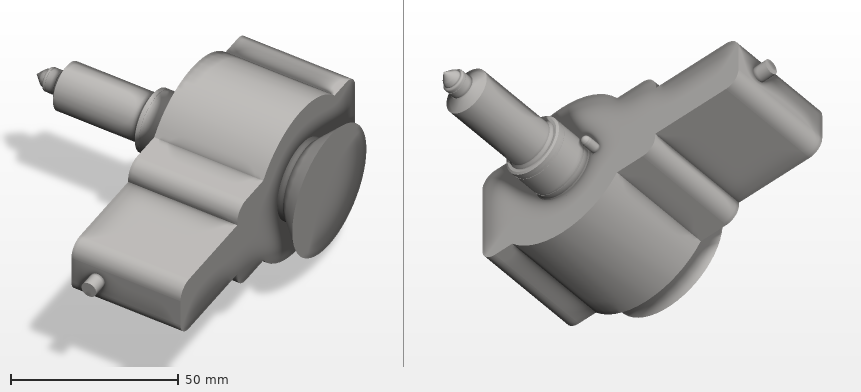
import cadquery as cq

HOUSING_THICKNESS = 38.0
HOUSING_RADIUS = 27.02
CORNER_RADIUS = 5.0
BACK_END_Y = 31.9
BACK_HALF_HEIGHT = 18.2
MIDDLE_END_Y = -36.9
MIDDLE_HALF_HEIGHT = 16.0
ARM_END_Y = -70.1
ARM_HALF_HEIGHT = 9.8

TERMINAL_X = 9.1
TERMINAL_RADIUS = 2.6
TERMINAL_LENGTH_OUTSIDE = 5.0
TERMINAL_HEAD_RADIUS = 3.0
TERMINAL_HEAD_LENGTH = 5.0

BELL_NECK_RADIUS = 13.6
BELL_NECK_LENGTH = 2.0
BELL_RIM_RADIUS = 21.67
BELL_LENGTH = 10.1

FLANGE_RADIUS = 12.5
FLANGE_THICKNESS = 3.2
COLLAR_RADIUS = 10.5
COLLAR_FRONT_X = -13.9
COLLAR_FRONT_CHAMFER_LENGTH = 0.4
COLLAR_FRONT_CHAMFER_HEIGHT = 0.7
COLLAR_BASE_FLARE = 0.3
GROOVE_DEPTH = 0.1
FRONT_GROOVE_X = -12.1
FRONT_GROOVE_WIDTH = 1.1
REAR_GROOVE_X = -2.8
REAR_GROOVE_WIDTH = 0.6

DOWEL_Y = -13.3
DOWEL_RADIUS = 1.6
DOWEL_TIP_X = -6.0
DOWEL_DOME_MID_X = -5.6
DOWEL_DOME_MID_RADIUS = 1.1
DOWEL_DOME_END_X = -4.8
DOWEL_DOME_RADIUS = 1.5
DOWEL_TAPER_END_X = -4.0

BARREL_RADIUS = 8.0
BARREL_CONE_START_X = -45.6
BARREL_CONE_START_RADIUS = 4.3
BARREL_CONE_END_X = -43.4
SHOULDER_START_X = -15.0
SHOULDER_RADIUS = 8.8

CAP_RADIUS = 4.0
CAP_FRONT_X = -49.9
CAP_FILLET = 0.6
CAP_GROOVE_X = -48.8
CAP_GROOVE_WIDTH = 0.5

NEEDLE_TIP_X = -53.9
NEEDLE_CONE_LENGTH = 2.5
NEEDLE_CONE_RADIUS = 2.5
NEEDLE_RADIUS = 3.1
NEEDLE_MID_X = -50.9
NEEDLE_MID_RADIUS = 2.84
NEEDLE_LAND_START_X = -50.2
NEEDLE_SEAT_DEPTH = 2.1


def cylinder(radius, start_x, end_x, y=0.0):
    """Cylinder parallel to the X axis, centred at the given Y."""
    return cq.Workplane("YZ", origin=(start_x, y, 0)).circle(radius).extrude(end_x - start_x)


def turned(outline):
    """Solid turned about the X axis from an open (X, radius) outline that starts and ends on the axis."""
    return outline.close().revolve(360, (0, 0, 0), (1, 0, 0))


def ring_groove(radius, depth, start_x, width):
    """Cutter for a shallow groove round a cylinder of the given radius."""
    outer = cylinder(radius + depth, start_x, start_x + width)
    return outer.cut(cylinder(radius - depth, start_x, start_x + width))


def housing_block(start_y, end_y, half_height):
    """Block across the housing thickness with both edges at its outer end (end_y) rounded."""
    block = cq.Workplane("XY").box(
        HOUSING_THICKNESS, abs(end_y - start_y), 2 * half_height
    )
    outer_edges = "|X and >Y" if end_y > start_y else "|X and <Y"
    block = block.edges(outer_edges).fillet(CORNER_RADIUS)
    return block.translate((HOUSING_THICKNESS / 2, (start_y + end_y) / 2, 0))


def terminal_cylinder(radius, start_y, end_y):
    """Cylinder parallel to the Y axis on the terminal axis."""
    plane = cq.Workplane("XZ", origin=(TERMINAL_X, start_y, 0))
    return plane.circle(radius).extrude(start_y - end_y)


def flange_notch():
    """Square-bottomed notch in the flange rim, as wide as the dowel."""
    return cq.Workplane("XY").box(FLANGE_THICKNESS, 2 * DOWEL_RADIUS, 2 * DOWEL_RADIUS).translate(
        (FLANGE_THICKNESS / 2, DOWEL_Y, 0)
    )


def make_housing():
    body = cylinder(HOUSING_RADIUS, 0, HOUSING_THICKNESS)
    body = body.union(housing_block(0, BACK_END_Y, BACK_HALF_HEIGHT))
    body = body.union(housing_block(0, MIDDLE_END_Y, MIDDLE_HALF_HEIGHT))
    body = body.union(housing_block(0, ARM_END_Y, ARM_HALF_HEIGHT))
    flange_recess = cylinder(FLANGE_RADIUS, 0, FLANGE_THICKNESS)
    dowel_hole = cylinder(DOWEL_RADIUS, 0, FLANGE_THICKNESS, DOWEL_Y)
    socket = terminal_cylinder(TERMINAL_HEAD_RADIUS, ARM_END_Y + TERMINAL_HEAD_LENGTH, ARM_END_Y)
    return body.cut(flange_recess).cut(dowel_hole).cut(socket)


def make_bell():
    rear_x = HOUSING_THICKNESS + BELL_LENGTH
    neck_end_x = HOUSING_THICKNESS + BELL_NECK_LENGTH
    return turned(
        cq.Workplane("XY")
        .moveTo(HOUSING_THICKNESS, 0)
        .lineTo(HOUSING_THICKNESS, BELL_NECK_RADIUS)
        .lineTo(neck_end_x, BELL_NECK_RADIUS)
        .lineTo(rear_x, BELL_RIM_RADIUS)
        .lineTo(rear_x, 0)
    )


def make_terminal_pin():
    head = terminal_cylinder(TERMINAL_HEAD_RADIUS, ARM_END_Y + TERMINAL_HEAD_LENGTH, ARM_END_Y)
    pin = terminal_cylinder(TERMINAL_RADIUS, ARM_END_Y, ARM_END_Y - TERMINAL_LENGTH_OUTSIDE)
    return head.union(pin)


def make_collar():
    body = turned(
        cq.Workplane("XY")
        .moveTo(COLLAR_FRONT_X, 0)
        .lineTo(COLLAR_FRONT_X, COLLAR_RADIUS - COLLAR_FRONT_CHAMFER_HEIGHT)
        .lineTo(COLLAR_FRONT_X + COLLAR_FRONT_CHAMFER_LENGTH, COLLAR_RADIUS)
        .lineTo(-COLLAR_BASE_FLARE, COLLAR_RADIUS)
        .lineTo(0, COLLAR_RADIUS + COLLAR_BASE_FLARE)
        .lineTo(0, FLANGE_RADIUS)
        .lineTo(FLANGE_THICKNESS, FLANGE_RADIUS)
        .lineTo(FLANGE_THICKNESS, 0)
    )
    body = body.cut(cylinder(SHOULDER_RADIUS, COLLAR_FRONT_X, FLANGE_THICKNESS))
    body = body.cut(flange_notch())
    for start_x, width in (
        (FRONT_GROOVE_X, FRONT_GROOVE_WIDTH),
        (REAR_GROOVE_X, REAR_GROOVE_WIDTH),
    ):
        body = body.cut(ring_groove(COLLAR_RADIUS, GROOVE_DEPTH, start_x, width))
    return body


def make_dowel():
    body = turned(
        cq.Workplane("XY")
        .moveTo(DOWEL_TIP_X, 0)
        .threePointArc(
            (DOWEL_DOME_MID_X, DOWEL_DOME_MID_RADIUS),
            (DOWEL_DOME_END_X, DOWEL_DOME_RADIUS),
        )
        .lineTo(DOWEL_TAPER_END_X, DOWEL_RADIUS)
        .lineTo(FLANGE_THICKNESS, DOWEL_RADIUS)
        .lineTo(FLANGE_THICKNESS, 0)
    )
    return body.translate((0, DOWEL_Y, 0))


def make_barrel():
    return turned(
        cq.Workplane("XY")
        .moveTo(BARREL_CONE_START_X, 0)
        .lineTo(BARREL_CONE_START_X, BARREL_CONE_START_RADIUS)
        .lineTo(BARREL_CONE_END_X, BARREL_RADIUS)
        .lineTo(SHOULDER_START_X, BARREL_RADIUS)
        .lineTo(COLLAR_FRONT_X, SHOULDER_RADIUS)
        .lineTo(FLANGE_THICKNESS, SHOULDER_RADIUS)
        .lineTo(FLANGE_THICKNESS, 0)
    )


def make_cap():
    body = cylinder(CAP_RADIUS, CAP_FRONT_X, BARREL_CONE_START_X)
    body = body.faces("<X").edges().fillet(CAP_FILLET)
    body = body.cut(ring_groove(CAP_RADIUS, GROOVE_DEPTH, CAP_GROOVE_X, CAP_GROOVE_WIDTH))
    return body.cut(cylinder(NEEDLE_RADIUS, CAP_FRONT_X, CAP_FRONT_X + NEEDLE_SEAT_DEPTH))


def make_needle():
    rear_x = CAP_FRONT_X + NEEDLE_SEAT_DEPTH
    return turned(
        cq.Workplane("XY")
        .moveTo(NEEDLE_TIP_X, 0)
        .lineTo(NEEDLE_TIP_X + NEEDLE_CONE_LENGTH, NEEDLE_CONE_RADIUS)
        .threePointArc((NEEDLE_MID_X, NEEDLE_MID_RADIUS), (NEEDLE_LAND_START_X, NEEDLE_RADIUS))
        .lineTo(rear_x, NEEDLE_RADIUS)
        .lineTo(rear_x, 0)
    )


housing = make_housing()
bell = make_bell()
terminal_pin = make_terminal_pin()
collar = make_collar()
dowel = make_dowel()
barrel = make_barrel()
cap = make_cap()
needle = make_needle()

result = cq.Compound.makeCompound(
    [
        housing.val(),
        bell.val(),
        terminal_pin.val(),
        collar.val(),
        dowel.val(),
        barrel.val(),
        cap.val(),
        needle.val(),
    ]
)